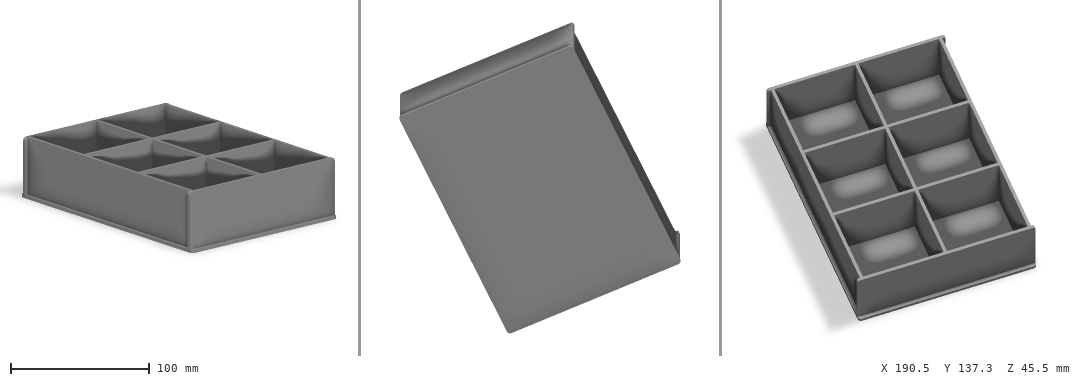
import cadquery as cq

LENGTH = 190.5
WIDTH = 137.3
HEIGHT = 45.5
THICKNESS = 2.5
MARGIN = 2.7
CORNER_RADIUS = THICKNESS
FOOT_LENGTH = 18.3
COLUMNS = 3

WALL_HEIGHT = HEIGHT - THICKNESS
LAP_HEIGHT = WALL_HEIGHT / 2
TAB_HEIGHT = WALL_HEIGHT / 3
TAB_BOTTOM = THICKNESS + (WALL_HEIGHT - TAB_HEIGHT) / 2
OUTER_LENGTH = LENGTH - 2 * MARGIN
INNER_LENGTH = OUTER_LENGTH - 2 * THICKNESS
DIVIDER_PITCH = INNER_LENGTH / COLUMNS
LAP_WIDTH = WIDTH - 2 * MARGIN

END_WALL_X = (OUTER_LENGTH - THICKNESS) / 2
LONG_WALL_Y = (LAP_WIDTH - THICKNESS) / 2
END_WALL_POSITIONS = (-END_WALL_X, END_WALL_X)
OUTER_WALL_POSITIONS = (-LONG_WALL_Y, LONG_WALL_Y)
LONG_WALL_POSITIONS = (0, *OUTER_WALL_POSITIONS)
DIVIDER_POSITIONS = [i * DIVIDER_PITCH - INNER_LENGTH / 2 for i in range(1, COLUMNS)]
FOOT_POSITIONS = [(i + 0.5) * DIVIDER_PITCH - INNER_LENGTH / 2 for i in range(COLUMNS)]


def block(size_x, size_y, size_z, x=0, y=0, bottom=THICKNESS):
    """Box centred on (x, y) that stands on the height `bottom`."""
    box = cq.Workplane("XY").box(size_x, size_y, size_z, centered=(True, True, False))
    return box.translate((x, y, bottom))


def make_feet(y):
    """Feet of one outer long wall, one at the middle of each column."""
    return [block(FOOT_LENGTH, THICKNESS, THICKNESS, x, y, bottom=0) for x in FOOT_POSITIONS]


def make_base():
    """Flat floor panel with rounded corners and a through slot for each foot."""
    base = block(LENGTH, WIDTH, THICKNESS, bottom=0).edges("|Z").fillet(CORNER_RADIUS)
    for y in OUTER_WALL_POSITIONS:
        for foot in make_feet(y):
            base = base.cut(foot)
    return base


def make_end_wall(x):
    """Wall along Y with rounded top corners and a through slot for each long wall tab."""
    wall = block(THICKNESS, WIDTH, WALL_HEIGHT, x=x)
    wall = wall.edges("|X and >Z").fillet(CORNER_RADIUS)
    for y in LONG_WALL_POSITIONS:
        wall = wall.cut(block(THICKNESS, THICKNESS, TAB_HEIGHT, x, y, TAB_BOTTOM))
    return wall


def make_long_wall(y):
    """Wall along X with a tab at each end and a top slot for each divider."""
    wall = block(INNER_LENGTH, THICKNESS, WALL_HEIGHT, y=y)
    wall = wall.union(block(OUTER_LENGTH, THICKNESS, TAB_HEIGHT, y=y, bottom=TAB_BOTTOM))
    for x in DIVIDER_POSITIONS:
        wall = wall.cut(block(THICKNESS, THICKNESS, LAP_HEIGHT, x, y, HEIGHT - LAP_HEIGHT))
    return wall


def make_outer_long_wall(y):
    """Long wall with feet that fill the slots of the base."""
    wall = make_long_wall(y)
    for foot in make_feet(y):
        wall = wall.union(foot)
    return wall


def make_divider(x):
    """Cross panel along Y with a bottom notch over each long wall."""
    divider = block(THICKNESS, LAP_WIDTH, WALL_HEIGHT, x=x)
    for y in LONG_WALL_POSITIONS:
        divider = divider.cut(block(THICKNESS, THICKNESS, LAP_HEIGHT, x, y))
    return divider


base = make_base()
end_walls = [make_end_wall(x) for x in END_WALL_POSITIONS]
centre_wall = make_long_wall(0)
outer_long_walls = [make_outer_long_wall(y) for y in OUTER_WALL_POSITIONS]
dividers = [make_divider(x) for x in DIVIDER_POSITIONS]

panels = [base, *end_walls, centre_wall, *outer_long_walls, *dividers]
result = cq.Compound.makeCompound([panel.solids().val() for panel in panels])